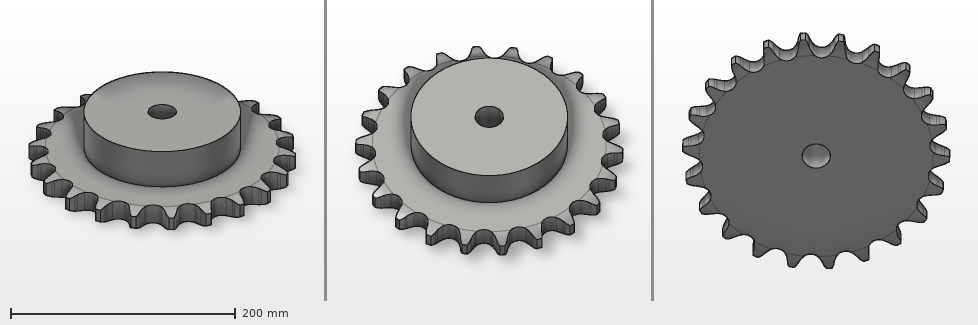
import cadquery as cq
import math


tip_radius = 119.2
plate_thickness = 18.5
total_height = 55.0
hub_diameter = 140.0
bore_diameter = 25.0

tooth_count = 22
pitch_radius = 111.5
seat_radius = 9.5
working_radius = 24.8
flat_length = 2.5
topping_radius = 15.7
seat_end_angle = 37.7
flank_angle = 22.2
topping_end_angle = 60.0

tooth_shoulder_radius = 104.4
tip_thickness = 12.2

cutter_overshoot = 12.0


def polar_shift(point, distance, degrees):
    """Move a point by a distance in the given direction."""
    angle = math.radians(degrees)
    return (point[0] + distance * math.cos(angle), point[1] + distance * math.sin(angle))


def mirrored(point):
    """Mirror a point across the gap's centre line, the X axis."""
    return (point[0], -point[1])


def tooth_blank():
    """Disc whose rim is rounded on both faces, symmetric about mid-thickness."""
    rim_drop = (plate_thickness - tip_thickness) / 2
    rim_width = tip_radius - tooth_shoulder_radius
    rounding_radius = (rim_width**2 + rim_drop**2) / (2 * rim_drop)
    half_sweep = math.degrees(math.asin(rim_width / rounding_radius)) / 2

    lower_centre = (tooth_shoulder_radius, rounding_radius)
    upper_centre = (tooth_shoulder_radius, plate_thickness - rounding_radius)
    lower_mid = polar_shift(lower_centre, rounding_radius, half_sweep - 90)
    upper_mid = polar_shift(upper_centre, rounding_radius, 90 - half_sweep)
    return (
        cq.Workplane("XZ")
        .lineTo(tooth_shoulder_radius, 0)
        .threePointArc(lower_mid, (tip_radius, rim_drop))
        .lineTo(tip_radius, plate_thickness - rim_drop)
        .threePointArc(upper_mid, (tooth_shoulder_radius, plate_thickness))
        .lineTo(0, plate_thickness)
        .close()
        .revolve(360, (0, 0), (0, 1))
    )


def gap_cutter():
    """One tooth gap, lying along +X; its flanks mirror across the X axis."""
    roller_centre = (pitch_radius, 0)
    seat_bottom = (pitch_radius - seat_radius, 0)

    seat_end_direction = 90 + seat_end_angle
    flank_direction = 90 + flank_angle
    topping_end_direction = topping_end_angle - 90

    seat_end = polar_shift(roller_centre, seat_radius, seat_end_direction)

    working_centre = polar_shift(seat_end, -working_radius, seat_end_direction)
    working_mid_direction = (seat_end_direction + flank_direction) / 2
    working_mid = polar_shift(working_centre, working_radius, working_mid_direction)
    working_end = polar_shift(working_centre, working_radius, flank_direction)

    flat_end = polar_shift(working_end, flat_length, flank_angle)

    topping_centre = polar_shift(flat_end, topping_radius, flank_direction)
    flat_end_direction = flank_angle - 90
    topping_mid_direction = (flat_end_direction + topping_end_direction) / 2
    topping_mid = polar_shift(topping_centre, topping_radius, topping_mid_direction)
    topping_end = polar_shift(topping_centre, topping_radius, topping_end_direction)

    outer_corner = (tip_radius + cutter_overshoot, topping_end[1])
    return (
        cq.Workplane("XY")
        .moveTo(*mirrored(seat_end))
        .threePointArc(seat_bottom, seat_end)
        .threePointArc(working_mid, working_end)
        .lineTo(*flat_end)
        .threePointArc(topping_mid, topping_end)
        .lineTo(*outer_corner)
        .lineTo(*mirrored(outer_corner))
        .lineTo(*mirrored(topping_end))
        .threePointArc(mirrored(topping_mid), mirrored(flat_end))
        .lineTo(*mirrored(working_end))
        .threePointArc(mirrored(working_mid), mirrored(seat_end))
        .close()
        .extrude(plate_thickness)
    )


def toothed_plate():
    """Plate with its gaps cut so that one tooth is centred on +X."""
    plate = tooth_blank()
    cutter = gap_cutter()
    tooth_step = 360 / tooth_count
    for index in range(tooth_count):
        gap_angle = (index + 0.5) * tooth_step
        plate = plate.cut(cutter.rotate((0, 0, 0), (0, 0, 1), gap_angle))
    return plate


hub = cq.Workplane("XY").circle(hub_diameter / 2).extrude(total_height)
bore = cq.Workplane("XY").circle(bore_diameter / 2).extrude(total_height)

result = toothed_plate().union(hub).cut(bore)